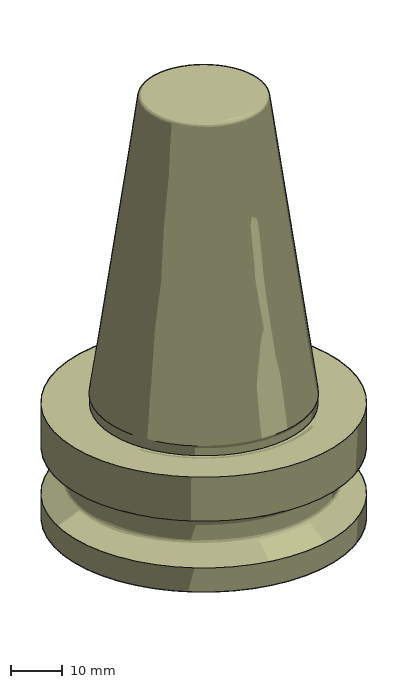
import cadquery as cq
import math

total_height = 97.9
flange_bottom = 5.5
flange_top = 30.5
gauge_level = 32.5

boss_bottom_radius = 17.0
boss_top_radius = 23.5

flange_radius = 31.5
groove_floor_radius = 26.5
groove_center = 15.9
groove_mouth_width = 10.2
groove_wall_angle = 30.0
groove_corner_radius = 1.0

taper_ratio = 7 / 24
gauge_radius = 22.2
tip_rounding = 1.0

neck_radius = 22.1
neck_chamfer_height = 0.6
relief_radius = 22.9
relief_mouth_radius = 23.8
relief_depth = 0.2

tip_radius = gauge_radius - (total_height - gauge_level) * taper_ratio / 2


def revolve_profile(points):
    """Revolve a closed (radius, height) outline about the Z axis."""
    return cq.Workplane("XZ").polyline(points).close().revolve(360, (0, 0, 0), (0, 1, 0))


def make_boss():
    return revolve_profile([
        (0, 0),
        (boss_bottom_radius, 0),
        (boss_top_radius, flange_bottom),
        (0, flange_bottom),
    ])


def make_flange():
    half_mouth = groove_mouth_width / 2
    wall_rise = (flange_radius - groove_floor_radius) * math.tan(math.radians(groove_wall_angle))
    half_floor = half_mouth - wall_rise
    blank = (
        cq.Workplane("XY", origin=(0, 0, flange_bottom))
        .circle(flange_radius)
        .extrude(flange_top - flange_bottom)
    )
    groove = revolve_profile([
        (flange_radius, groove_center - half_mouth),
        (groove_floor_radius, groove_center - half_floor),
        (groove_floor_radius, groove_center + half_floor),
        (flange_radius, groove_center + half_mouth),
    ])
    groove = groove.edges(cq.selectors.RadiusNthSelector(0)).fillet(groove_corner_radius)
    return blank.cut(groove)


def make_relief():
    """Ring sunk into the flange face around the neck, flared at its mouth."""
    return revolve_profile([
        (neck_radius, flange_top - relief_depth),
        (relief_radius, flange_top - relief_depth),
        (relief_mouth_radius, flange_top),
        (neck_radius, flange_top),
    ])


def make_taper():
    shank = revolve_profile([
        (0, flange_bottom),
        (neck_radius, flange_bottom),
        (neck_radius, gauge_level - neck_chamfer_height),
        (gauge_radius, gauge_level),
        (tip_radius, total_height),
        (0, total_height),
    ])
    return shank.faces(">Z").edges().fillet(tip_rounding)


flange = make_flange().cut(make_relief())
result = make_boss().union(flange).union(make_taper())